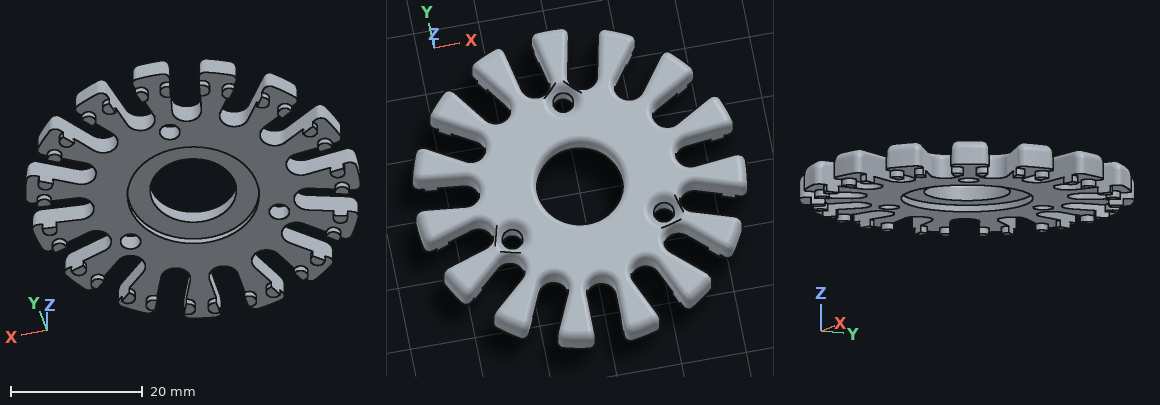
import cadquery as cq
import math

OUTER_RADIUS = 25.5
DISC_THICKNESS = 4.0
RIM_FILLET = 1.5
BORE_RADIUS = 6.5
EDGE_FILLET = 1.0

RECESS_RADIUS = 10.0
RECESS_DEPTH = 1.0

SLOT_COUNT = 15
SLOT_WIDTH = 4.45
SLOT_CENTER_RADIUS = 17.55
FIRST_SLOT_ANGLE = -90
SLOT_PITCH = 360 / SLOT_COUNT
SLOT_BOTTOM_RADIUS = SLOT_CENTER_RADIUS - SLOT_WIDTH / 2

SCREW_COUNT = 3
SCREW_CIRCLE_RADIUS = 13.5
SCREW_HOLE_RADIUS = 1.55
SINK_MOUTH_RADIUS = 3.15
SINK_FILLET = 1.25
SINK_SLOPE = 45

FOOT_HEIGHT = 1.0
FOOT_INNER_END = 21.4
FOOT_OUTER_END = 23.55
FOOT_WIDTH = 1.55
FOOT_CORNER_RADIUS = 1.0

TOLERANCE = 0.005


def spin(shape, angle):
    return shape.rotate((0, 0, 0), (0, 0, 1), angle)


def repeat_at_slots(shape):
    """Copy a shape placed on the +X axis to every slot."""
    copies = cq.Workplane("XY")
    for i in range(SLOT_COUNT):
        copies = copies.add(spin(shape, FIRST_SLOT_ANGLE + i * SLOT_PITCH))
    return copies.combine()


def make_disc():
    disc = cq.Workplane("XY").circle(OUTER_RADIUS).extrude(DISC_THICKNESS)
    disc = disc.faces(">Z").edges().fillet(RIM_FILLET)
    disc = disc.faces(">Z").workplane().circle(BORE_RADIUS).cutThruAll()
    bore_edge = cq.selectors.RadiusNthSelector(0)
    disc = disc.faces(">Z").edges(bore_edge).fillet(EDGE_FILLET)
    recess = cq.Workplane("XY").circle(RECESS_RADIUS).extrude(RECESS_DEPTH)
    return disc.cut(recess)


def make_slots():
    """Cutters for all slots, reaching from the soles of the feet to the top."""
    half_width = SLOT_WIDTH / 2
    beyond_rim = OUTER_RADIUS + SLOT_WIDTH
    slot = (
        cq.Workplane("XY", origin=(0, 0, -FOOT_HEIGHT))
        .moveTo(SLOT_CENTER_RADIUS, -half_width)
        .lineTo(beyond_rim, -half_width)
        .lineTo(beyond_rim, half_width)
        .lineTo(SLOT_CENTER_RADIUS, half_width)
        .threePointArc((SLOT_BOTTOM_RADIUS, 0), (SLOT_CENTER_RADIUS, -half_width))
        .close()
        .extrude(FOOT_HEIGHT + DISC_THICKNESS)
    )
    return repeat_at_slots(slot)


def is_slot_edge(edge):
    """True for edges climbing a tooth corner and edges around a slot's top."""
    middle = edge.positionAt(0.5)
    radius = math.hypot(middle.x, middle.y)
    flat_top_radius = OUTER_RADIUS - RIM_FILLET
    if abs(edge.startPoint().z - edge.endPoint().z) > TOLERANCE:
        return radius > flat_top_radius
    on_top = middle.z > DISC_THICKNESS - TOLERANCE
    return on_top and SLOT_BOTTOM_RADIUS - TOLERANCE < radius < flat_top_radius - TOLERANCE


def round_slot_edges(body):
    slot_edges = [edge for edge in body.edges().vals() if is_slot_edge(edge)]
    return body.newObject(slot_edges).fillet(EDGE_FILLET)


def cut_screw_holes(body):
    slope = math.radians(SINK_SLOPE)

    def mouth_point(tilt):
        """Point (radius, height) where the rounded mouth has the given tilt."""
        return (
            SINK_MOUTH_RADIUS - SINK_FILLET * math.sin(tilt),
            DISC_THICKNESS - SINK_FILLET * (1 - math.cos(tilt)),
        )

    cone_radius, cone_top = mouth_point(slope)
    cone_bottom = cone_top - (cone_radius - SCREW_HOLE_RADIUS) * math.tan(slope)
    cutter = (
        cq.Workplane("XZ")
        .lineTo(SCREW_HOLE_RADIUS, 0)
        .lineTo(SCREW_HOLE_RADIUS, cone_bottom)
        .lineTo(cone_radius, cone_top)
        .threePointArc(mouth_point(slope / 2), mouth_point(0))
        .lineTo(0, DISC_THICKNESS)
        .close()
        .revolve(360, (0, 0), (0, 1))
        .translate((0, SCREW_CIRCLE_RADIUS, 0))
    )
    for i in range(SCREW_COUNT):
        body = body.cut(spin(cutter, i * 360 / SCREW_COUNT))
    return body


def make_feet(slots):
    """One rounded pad across each slot, split into two feet by the slot."""
    pad = (
        cq.Workplane("XY")
        .center((FOOT_INNER_END + FOOT_OUTER_END) / 2, 0)
        .rect(FOOT_OUTER_END - FOOT_INNER_END, SLOT_WIDTH + 2 * FOOT_WIDTH)
        .extrude(-FOOT_HEIGHT)
        .edges("|Z")
        .fillet(FOOT_CORNER_RADIUS)
    )
    return repeat_at_slots(pad).cut(slots)


slots = make_slots()
body = make_disc().cut(slots)
body = round_slot_edges(body)
body = cut_screw_holes(body)
result = body.union(make_feet(slots))